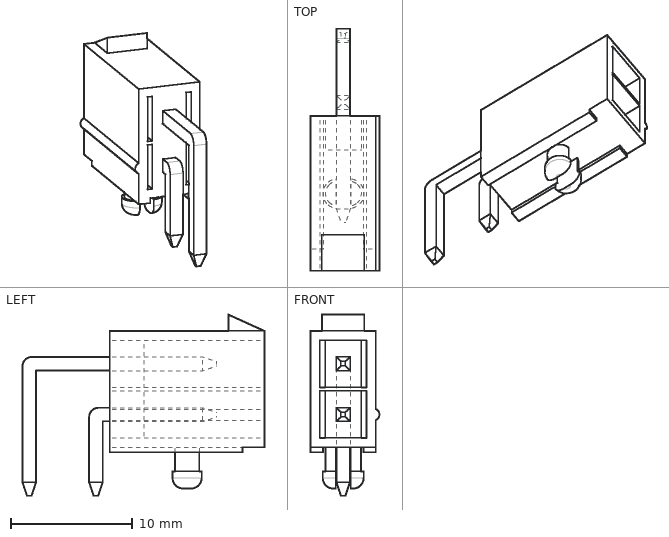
import cadquery as cq


OVERALL_LENGTH = 19.97

HOUSING_WIDTH = 5.4
HOUSING_LENGTH = 12.78
HOUSING_HEIGHT = 10.0
FOOT_HEIGHT = 0.42
FOOT_WIDTH = 1.04
FOOT_SETBACK = 1.82
BODY_HEIGHT = HOUSING_HEIGHT - FOOT_HEIGHT
MIDDLE_Z = FOOT_HEIGHT + BODY_HEIGHT / 2

WALL = 0.78
SEPTUM = 0.3
CAVITY_DEPTH = 9.98
CAVITY_WIDTH = HOUSING_WIDTH - 2 * WALL
CAVITY_HEIGHT = (BODY_HEIGHT - 2 * WALL - SEPTUM) / 2
CAVITY_PITCH = CAVITY_HEIGHT + SEPTUM
SIDE_SLOT_WIDTH = 0.42

LATCH_WIDTH = 3.5
LATCH_LENGTH = 3.0
LATCH_HEIGHT = 1.35

RIB_RADIUS = 0.5
RIB_PROJECTION = 0.3

PEG_Y = 6.4
STEM_THICKNESS = 2.05
STEM_WIDTH = 2.95
HEAD_THICKNESS = 2.44
HEAD_WIDTH = 3.4
HEAD_TOP_Z = -1.55
HEAD_BOTTOM_Z = -3.0
HEAD_ROUNDING = 0.9
PEG_SLIT = 1.22

PIN_SIZE = 1.14
PIN_PITCH = 4.2
PIN_TIP_SIZE = 0.38
PIN_TIP_LENGTH = 1.14
PIN_BEND_RADIUS = 0.8
PIN_FRONT_Y = 4.0
TAIL_END_Z = -3.6
LONG_TAIL_Y = OVERALL_LENGTH - PIN_SIZE / 2
TAIL_PITCH = 5.5

LOWER_PIN_Z = MIDDLE_Z - PIN_PITCH / 2
UPPER_PIN_Z = MIDDLE_Z + PIN_PITCH / 2
PIN_PLACES = [
    (UPPER_PIN_Z, LONG_TAIL_Y),
    (LOWER_PIN_Z, LONG_TAIL_Y - TAIL_PITCH),
]


def block(width, y_start, y_end, z_start, z_end, x_middle=0.0):
    """A box centred across X on x_middle."""
    box = cq.Workplane("XY").box(width, y_end - y_start, z_end - z_start, centered=(True, False, False))
    return box.translate((x_middle, y_start, z_start))


def make_shell():
    """The outer block with two feet that leave a channel between them and stop short of the front."""
    shell = block(HOUSING_WIDTH, 0, HOUSING_LENGTH, FOOT_HEIGHT, HOUSING_HEIGHT)
    foot_x = (HOUSING_WIDTH - FOOT_WIDTH) / 2
    for x in (-foot_x, foot_x):
        shell = shell.union(block(FOOT_WIDTH, FOOT_SETBACK, HOUSING_LENGTH, 0, FOOT_HEIGHT, x))
    return shell


def make_cavity(z_middle):
    """A blind pocket whose two side strips run on through the back wall."""
    z_start = z_middle - CAVITY_HEIGHT / 2
    z_end = z_middle + CAVITY_HEIGHT / 2
    cavity = block(CAVITY_WIDTH, 0, CAVITY_DEPTH, z_start, z_end)
    slot_x = (CAVITY_WIDTH - SIDE_SLOT_WIDTH) / 2
    for x in (-slot_x, slot_x):
        cavity = cavity.union(block(SIDE_SLOT_WIDTH, 0, HOUSING_LENGTH, z_start, z_end, x))
    return cavity


def make_latch():
    """A wedge that rises from the front edge of the top face."""
    outline = [
        (0, HOUSING_HEIGHT),
        (LATCH_LENGTH, HOUSING_HEIGHT),
        (LATCH_LENGTH, HOUSING_HEIGHT + LATCH_HEIGHT),
    ]
    return cq.Workplane("YZ").polyline(outline).close().extrude(LATCH_WIDTH / 2, both=True)


def make_rib():
    """A cylinder along Y, mostly sunk in the +X wall."""
    rib_x = HOUSING_WIDTH / 2 + RIB_PROJECTION - RIB_RADIUS
    rib = cq.Workplane("XZ").center(rib_x, LOWER_PIN_Z).circle(RIB_RADIUS)
    return rib.extrude(-HOUSING_LENGTH)


def peg_section(width, thickness, z_start, z_end):
    """A vertical bar with a round-ended cross-section that is longest along X."""
    section = cq.Workplane("XY", origin=(0, PEG_Y, z_start)).slot2D(width, thickness)
    return section.extrude(z_end - z_start)


def make_peg():
    """The split peg under the housing, with its slit open from front to back."""
    stem = peg_section(STEM_WIDTH, STEM_THICKNESS, HEAD_TOP_Z, FOOT_HEIGHT)
    head = peg_section(HEAD_WIDTH, HEAD_THICKNESS, HEAD_BOTTOM_Z, HEAD_TOP_Z)
    head = head.faces("<Z").edges().fillet(HEAD_ROUNDING)
    slit_start = PEG_Y - HEAD_THICKNESS
    slit_end = PEG_Y + HEAD_THICKNESS
    return stem.union(head).cut(block(PEG_SLIT, slit_start, slit_end, HEAD_BOTTOM_Z, FOOT_HEIGHT))


def make_pin_hole(z_middle):
    """The square hole that a contact fills in the back wall."""
    half = PIN_SIZE / 2
    return block(PIN_SIZE, CAVITY_DEPTH, HOUSING_LENGTH, z_middle - half, z_middle + half)


def make_housing():
    housing = make_shell().union(make_latch()).union(make_rib()).union(make_peg())
    for side in (-1, 1):
        housing = housing.cut(make_cavity(MIDDLE_Z + side * CAVITY_PITCH / 2))
    for pin_z, _ in PIN_PLACES:
        housing = housing.cut(make_pin_hole(pin_z))
    return housing


def make_tip(base_plane):
    """A blunt pyramid that narrows from the full contact section along the plane's normal."""
    tip = cq.Workplane(base_plane).rect(PIN_SIZE, PIN_SIZE)
    return tip.workplane(offset=PIN_TIP_LENGTH).rect(PIN_TIP_SIZE, PIN_TIP_SIZE).loft(ruled=True)


def make_pin(pin_z, tail_y):
    """A square contact bent down behind the housing, pointed at both ends."""
    half = PIN_SIZE / 2
    front_y = PIN_FRONT_Y + PIN_TIP_LENGTH
    tail_z = TAIL_END_Z + PIN_TIP_LENGTH
    arm = block(PIN_SIZE, front_y, tail_y + half, pin_z - half, pin_z + half)
    tail = block(PIN_SIZE, tail_y - half, tail_y + half, tail_z, pin_z + half)
    pin = arm.union(tail)
    pin = pin.edges("|X").edges(">Y").edges(">Z").fillet(PIN_BEND_RADIUS)
    front_plane = cq.Plane(origin=(0, front_y, pin_z), xDir=(1, 0, 0), normal=(0, -1, 0))
    tail_plane = cq.Plane(origin=(0, tail_y, tail_z), xDir=(1, 0, 0), normal=(0, 0, -1))
    return pin.union(make_tip(front_plane)).union(make_tip(tail_plane))


housing = make_housing()
pins = [make_pin(pin_z, tail_y) for pin_z, tail_y in PIN_PLACES]

result = cq.Compound.makeCompound([housing.val(), *[pin.val() for pin in pins]])